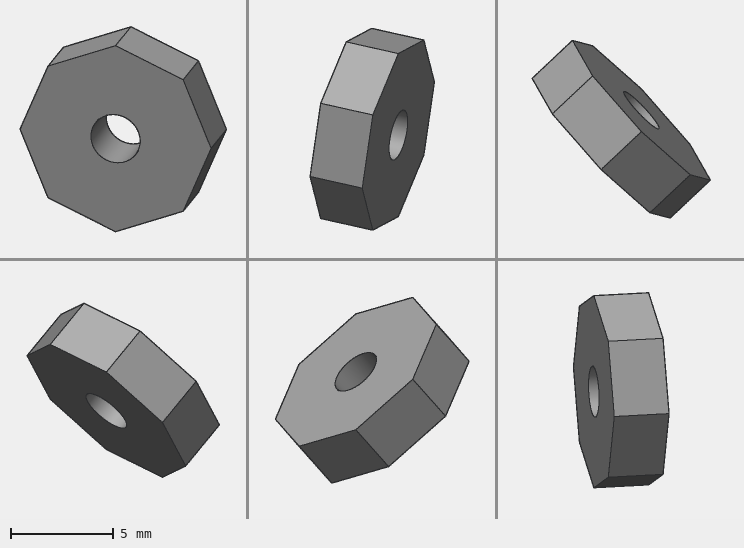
import cadquery as cq

corner_diameter = 9.74
thickness = 2.75
hole_diameter = 2.5
side_count = 8

result = (
    cq.Workplane("XZ")
    .polygon(side_count, corner_diameter)
    .circle(hole_diameter / 2)
    .extrude(thickness / 2, both=True)
)